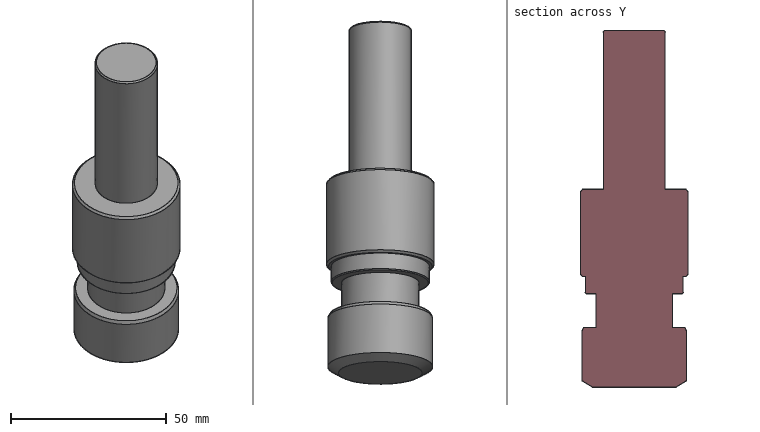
import cadquery as cq

HEAD_DIAMETER = 33.7
NECK_DIAMETER = 24.8
COLLAR_DIAMETER = 31.5
BODY_DIAMETER = 34.6
SHANK_DIAMETER = 20.0

HEAD_TOP = 19.2
COLLAR_BOTTOM = 30.0
BODY_BOTTOM = 35.5
BODY_TOP = 63.5
SHANK_TOP = 114.5

HEAD_BOTTOM_BEVEL_WIDTH = 3.4
HEAD_BOTTOM_BEVEL_HEIGHT = 2.1
HEAD_TOP_BEVEL_WIDTH = 0.6
HEAD_TOP_BEVEL_HEIGHT = 1.0
COLLAR_CHAMFER = 0.3
BODY_CHAMFER = 0.7
SHANK_CHAMFER = 0.5


def turned_section(diameter, bottom, top):
    """Solid cylinder about the Z axis between two heights."""
    return cq.Workplane("XY").workplane(offset=bottom).circle(diameter / 2).extrude(top - bottom)


def make_head():
    """Head with a shallow cone below and a steep narrow bevel above."""
    radius = HEAD_DIAMETER / 2
    profile = (
        cq.Workplane("XZ")
        .moveTo(0, 0)
        .lineTo(radius - HEAD_BOTTOM_BEVEL_WIDTH, 0)
        .lineTo(radius, HEAD_BOTTOM_BEVEL_HEIGHT)
        .lineTo(radius, HEAD_TOP - HEAD_TOP_BEVEL_HEIGHT)
        .lineTo(radius - HEAD_TOP_BEVEL_WIDTH, HEAD_TOP)
        .lineTo(0, HEAD_TOP)
        .close()
    )
    return profile.revolve(360, (0, 0, 0), (0, 1, 0))


head = make_head()
neck = turned_section(NECK_DIAMETER, HEAD_TOP, COLLAR_BOTTOM)
collar = turned_section(COLLAR_DIAMETER, COLLAR_BOTTOM, BODY_BOTTOM).faces("<Z").chamfer(COLLAR_CHAMFER)
body = turned_section(BODY_DIAMETER, BODY_BOTTOM, BODY_TOP).faces("<Z or >Z").chamfer(BODY_CHAMFER)
shank = turned_section(SHANK_DIAMETER, BODY_TOP, SHANK_TOP).faces(">Z").chamfer(SHANK_CHAMFER)

result = head.union(neck).union(collar).union(body).union(shank)